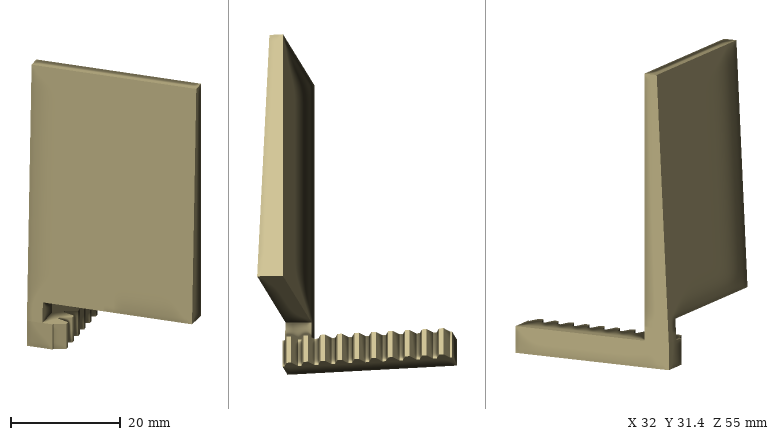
import cadquery as cq
import math

HEIGHT = 55.0
WIDTH = 32.0
RACK_LENGTH = 31.4

TOOTH_COUNT = 10
PRESSURE_ANGLE = 20.0
RACK_HEIGHT = 5.0
RACK_BACK = 5.0
PITCH = RACK_LENGTH / TOOTH_COUNT
MODULE = PITCH / math.pi
ADDENDUM = MODULE
DEDENDUM = 1.25 * MODULE

WALL_BASE = 5.0
WALL_TOP = 2.55

NECK_WIDTH = 3.0
CLEARANCE = 4.0


def make_rack():
    flank_slope = math.tan(math.radians(PRESSURE_ANGLE))
    tip_half = PITCH / 4 - ADDENDUM * flank_slope
    root_half = PITCH / 4 + DEDENDUM * flank_slope
    tip_x = RACK_BACK + DEDENDUM + ADDENDUM

    outline = [(0, 0), (RACK_BACK, 0)]
    for tooth in range(TOOTH_COUNT):
        center = (tooth + 0.5) * PITCH
        outline += [
            (RACK_BACK, center - root_half),
            (tip_x, center - tip_half),
            (tip_x, center + tip_half),
            (RACK_BACK, center + root_half),
        ]
    outline += [(RACK_BACK, RACK_LENGTH), (0, RACK_LENGTH)]
    return cq.Workplane("XY").polyline(outline).close().extrude(RACK_HEIGHT)


def make_wall():
    lean = (WALL_BASE - WALL_TOP) / (HEIGHT - RACK_HEIGHT)
    front_edge_z = RACK_HEIGHT + CLEARANCE
    front_edge_y = CLEARANCE * lean
    rear_edge_z = front_edge_z - (WALL_BASE - front_edge_y) * lean

    neck = (
        cq.Workplane("YZ")
        .polyline([
            (WALL_BASE, RACK_HEIGHT),
            (WALL_BASE, HEIGHT),
            (WALL_BASE - WALL_TOP, HEIGHT),
            (0, RACK_HEIGHT),
        ])
        .close()
        .extrude(NECK_WIDTH)
    )
    panel = (
        cq.Workplane("YZ")
        .polyline([
            (WALL_BASE, rear_edge_z),
            (WALL_BASE, HEIGHT),
            (WALL_BASE - WALL_TOP, HEIGHT),
            (front_edge_y, front_edge_z),
        ])
        .close()
        .extrude(WIDTH)
    )
    return neck.union(panel)


result = make_rack().union(make_wall())